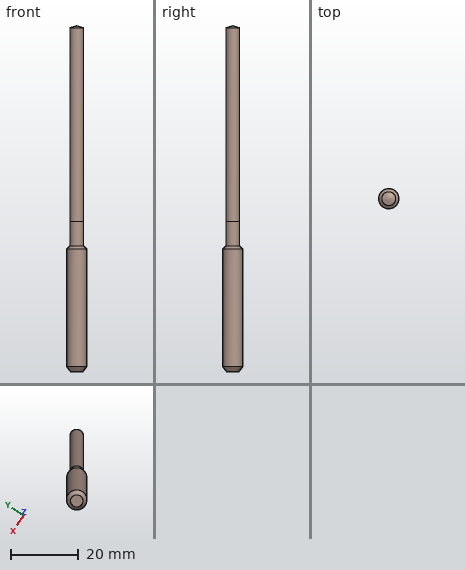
import cadquery as cq
import math

overall_length = 102
shank_diameter = 6.0
drill_diameter = 4.1

shank_top = 36.2
body_split = 44.3

end_chamfer_height = 1.5
end_face_diameter = 3.7
shoulder_height = 0.9
point_angle = 146

shank_radius = shank_diameter / 2
drill_radius = drill_diameter / 2
end_face_radius = end_face_diameter / 2
point_height = drill_radius / math.tan(math.radians(point_angle / 2))


def make_holder():
    """Chamfered shank with a conical shoulder and a narrow neck."""
    profile = (
        cq.Workplane("XZ")
        .lineTo(end_face_radius, 0)
        .lineTo(shank_radius, end_chamfer_height)
        .lineTo(shank_radius, shank_top)
        .lineTo(drill_radius, shank_top + shoulder_height)
        .lineTo(drill_radius, body_split)
        .lineTo(0, body_split)
        .close()
    )
    return profile.revolve(360, (0, 0), (0, 1))


def make_drill():
    """Plain round drill section with a conical point, seated on the neck."""
    profile = (
        cq.Workplane("XZ")
        .moveTo(0, body_split)
        .lineTo(drill_radius, body_split)
        .lineTo(drill_radius, overall_length - point_height)
        .lineTo(0, overall_length)
        .close()
    )
    return profile.revolve(360, (0, 0), (0, 1))


holder = make_holder()
drill = make_drill()
result = cq.Compound.makeCompound([holder.val(), drill.val()])